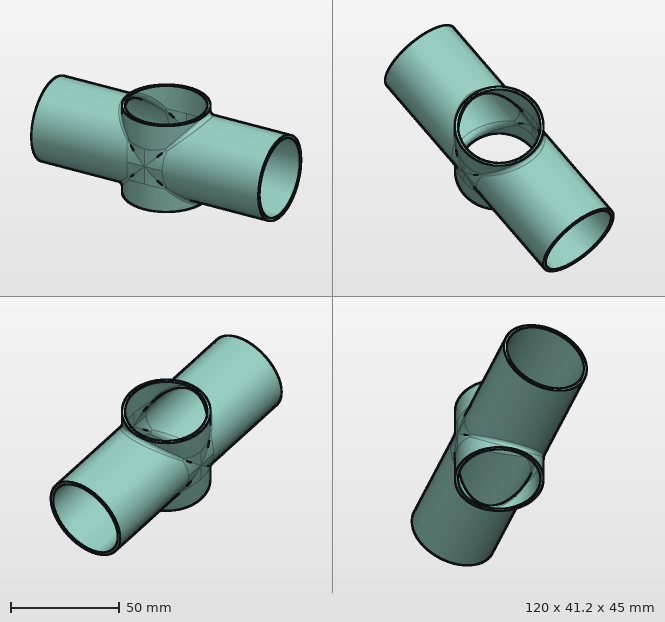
import cadquery as cq
import math

run_length = 120.0
branch_length = 45.0
outer_diameter = 41.0
bore_diameter = 38.0
fillet_radius = 1.9

fillet_end_angle = 62.0
pad_half_width = 9.2
pad_bulge = 0.1

outer_radius = outer_diameter / 2
inner_radius = bore_diameter / 2
ball_path_radius = outer_radius + fillet_radius

curve_steps = 16
fillet_steps = 40
arc_steps = 8
tangent_step = 0.1
fit_tolerance = 0.0001
sewing_tolerance = 0.002
trim_depth = 0.1

origin = cq.Vector(0, 0, 0)
y_axis = cq.Vector(0, 1, 0)
run_branch_diagonal = cq.Vector(1, 0, 1)


def cosine(angle):
    return math.cos(math.radians(angle))


def sine(angle):
    return math.sin(math.radians(angle))


def spread(start, end, steps):
    return [start + (end - start) * i / steps for i in range(steps + 1)]


def swap_tubes(shape):
    """Mirror across the plane x = z, which trades the run for the branch."""
    return shape.rotate(origin, run_branch_diagonal, 180).mirror("XZ")


def quarter_turns(shape):
    return [shape.rotate(origin, y_axis, 90 * turn) for turn in range(4)]


def fillet_reach(angle):
    """Distance along a tube from the center to its contact line with the fillet."""
    return ball_path_radius * abs(cosine(angle))


def pad_reach(angle):
    """Distance along a tube to the pad border, which bows in towards the pole."""
    share = (90 - angle % 180) / (90 - fillet_end_angle)
    corner_reach = fillet_reach(fillet_end_angle)
    return pad_half_width + (corner_reach - pad_half_width) * share**2


def rim_curve(radius, reach, start, end):
    """Curve around the run that lies at the given reach for each angle."""
    angles = spread(start, end, curve_steps)
    points = [cq.Vector(reach(a), radius * sine(a), radius * cosine(a)) for a in angles]
    return cq.Edge.makeSpline(points, parameters=angles)


def fillet_arc(radius, angle):
    """Cross-section of the fillet, from its contact on the run to that on the branch."""
    center = cq.Vector(cosine(angle), sine(angle), cosine(angle)) * ball_path_radius
    on_run = cq.Vector(center.x, radius * sine(angle), radius * cosine(angle))
    on_branch = cq.Vector(on_run.z, on_run.y, center.z)
    inward = ((on_run + on_branch) * 0.5 - center).normalized()
    return cq.Edge.makeThreePointArc(on_run, center + inward * (ball_path_radius - radius), on_branch)


def fillet_face(radius):
    angles = spread(-fillet_end_angle, fillet_end_angle, fillet_steps)
    rows = [fillet_arc(radius, a).positions(spread(0, 1, arc_steps)) for a in angles]
    return cq.Face.makeSplineApprox(rows, tol=fit_tolerance)


def pad_faces(radius):
    """Skin of the pad at the +Y pole, in eight equal wedges."""
    pole = cq.Vector(0, radius + pad_bulge, 0)
    side_middle = cq.Vector(pad_half_width, radius, 0)
    x_direction = cq.Vector(1, 0, 0)
    corner_arc = fillet_arc(radius, fillet_end_angle)
    on_run = corner_arc.positionAt(0)
    corner_middle = corner_arc.positionAt(0.5)
    spoke = cq.Edge.makeSpline([pole, side_middle], tangents=[x_direction, x_direction])
    beyond_corner = fillet_arc(radius, fillet_end_angle - tangent_step).positionAt(0.5)
    ridge_end = beyond_corner - corner_middle
    ridge = cq.Edge.makeSpline([pole, corner_middle], tangents=[run_branch_diagonal, ridge_end])
    half_arc = cq.Edge.makeThreePointArc(on_run, corner_arc.positionAt(0.25), corner_middle)
    half_rim = rim_curve(radius, pad_reach, fillet_end_angle, 90)
    wedge = cq.Face.makeNSidedSurface([spoke, half_rim, half_arc, ridge], [])
    return quarter_turns(wedge) + quarter_turns(swap_tubes(wedge))


def arm_faces(radius, end):
    """Skin and end disc of the +X arm, trimmed where it meets the fillets and pads."""
    sectors = [
        (fillet_reach, -fillet_end_angle, fillet_end_angle),
        (pad_reach, fillet_end_angle, 180 - fillet_end_angle),
        (fillet_reach, 180 - fillet_end_angle, 180 + fillet_end_angle),
        (pad_reach, 180 + fillet_end_angle, 360 - fillet_end_angle),
    ]
    strips = []
    for sector in sectors:
        inner = rim_curve(radius * (1 - trim_depth), *sector)
        outer = rim_curve(radius * (1 + trim_depth), *sector)
        strips.append(cq.Face.makeRuledSurface(inner, outer))
    bar = cq.Workplane("YZ").circle(radius).extrude(end)
    bar = bar.rotate((0, 0, 0), (1, 0, 0), 90 - fillet_end_angle)
    pieces = bar.faces("%CYLINDER").val().split(*strips).Faces()
    skin = max(pieces, key=lambda face: face.Center().x)
    return [skin, bar.faces(">X").val()]


def solid_cross(radius):
    """Two equal round bars crossing at right angles, with the crossing blended smooth."""
    faces = quarter_turns(fillet_face(radius))
    for face in pad_faces(radius):
        faces += [face, face.mirror("XZ")]
    for face in arm_faces(radius, run_length / 2):
        faces += [face, face.mirror("YZ")]
    for face in arm_faces(radius, branch_length / 2):
        branch_face = swap_tubes(face)
        faces += [branch_face, branch_face.mirror("XY")]
    skin = cq.occ_impl.shapes.shell(*faces, tol=sewing_tolerance)
    return cq.Workplane(cq.Solid.makeSolid(skin).fix())


fitting = solid_cross(outer_radius).cut(solid_cross(inner_radius))
result = cq.Workplane(fitting.solids().val())